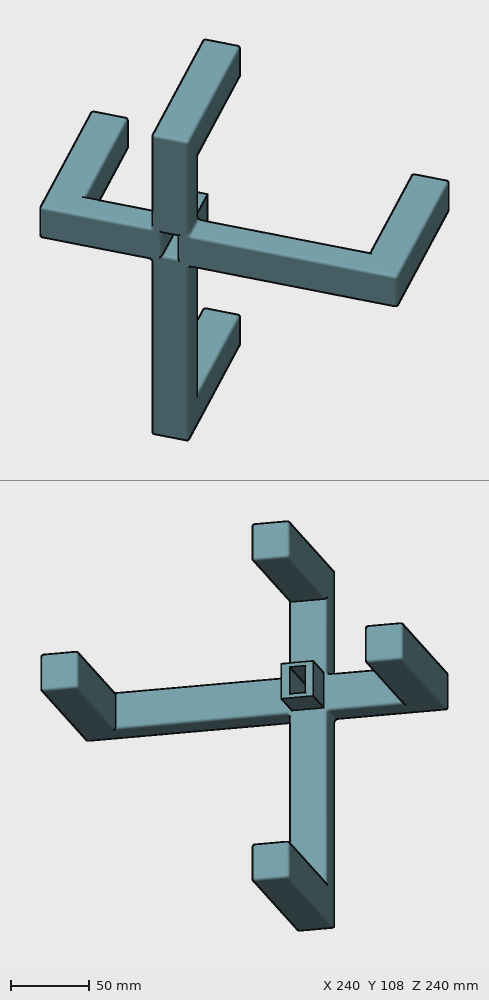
import cadquery as cq

SPAN = 240.0
DEPTH = 108.0

SHORT_ARM = 87.5
LONG_ARM = SPAN - SHORT_ARM
BAR_WIDTH = 25.0
BAR_DEPTH = 20.0
EDGE_RADIUS = 2.0

BOSS_WIDTH = 21.0
BOSS_HEIGHT = 23.5
BOSS_BACK = 45.0
HOLE_WIDTH = 10.3
HOLE_HEIGHT = 18.0
HOLE_SHIFT = -0.2
CORE_RISE = 1.5

TOLERANCE = 0.02


def block(x_range, y_range, z_range):
    """Box between the given limits on each axis."""
    sizes = [high - low for low, high in (x_range, y_range, z_range)]
    corner = cq.Vector(x_range[0], y_range[0], z_range[0])
    return cq.Workplane(cq.Solid.makeBox(*sizes, corner))


def centred(size, centre=0.0):
    """Limits of a length centred on a point."""
    return (centre - size / 2, centre + size / 2)


across_bar = centred(BAR_WIDTH)
along_x = (-SHORT_ARM, LONG_ARM)
along_z = (-LONG_ARM, SHORT_ARM)
bar_y = (0, BAR_DEPTH)
prong_y = (0, DEPTH)


def end_ranges(along):
    """Limits of the prong at each end of a bar."""
    low, high = along
    return [(low, low + BAR_WIDTH), (high - BAR_WIDTH, high)]


frame = block(along_x, bar_y, across_bar).union(block(across_bar, bar_y, along_z))
for x_range in end_ranges(along_x):
    frame = frame.union(block(x_range, prong_y, across_bar))
for z_range in end_ranges(along_z):
    frame = frame.union(block(across_bar, prong_y, z_range))
frame = frame.clean()


def is_prong_root(edge):
    """True for the inside corner edge where a prong meets the back of its bar."""
    centre = edge.Center()
    on_bar_back = abs(centre.y - BAR_DEPTH) < TOLERANCE
    on_bar_axis = min(abs(centre.x), abs(centre.z)) < TOLERANCE
    return on_bar_back and on_bar_axis


frame = frame.edges().filter(lambda edge: not is_prong_root(edge)).fillet(EDGE_RADIUS)

boss = block(centred(BOSS_WIDTH), (BAR_DEPTH / 2, BOSS_BACK), centred(BOSS_HEIGHT, CORE_RISE))
hole = block(centred(HOLE_WIDTH, HOLE_SHIFT), (0, BOSS_BACK), centred(HOLE_HEIGHT, CORE_RISE))
result = frame.union(boss).cut(hole)

mouth_reach = BAR_WIDTH / 2
hole_mouth = cq.selectors.BoxSelector(
    (-mouth_reach, -TOLERANCE, -mouth_reach),
    (mouth_reach, TOLERANCE, mouth_reach),
)
result = result.faces("<Y").edges(hole_mouth).fillet(EDGE_RADIUS)